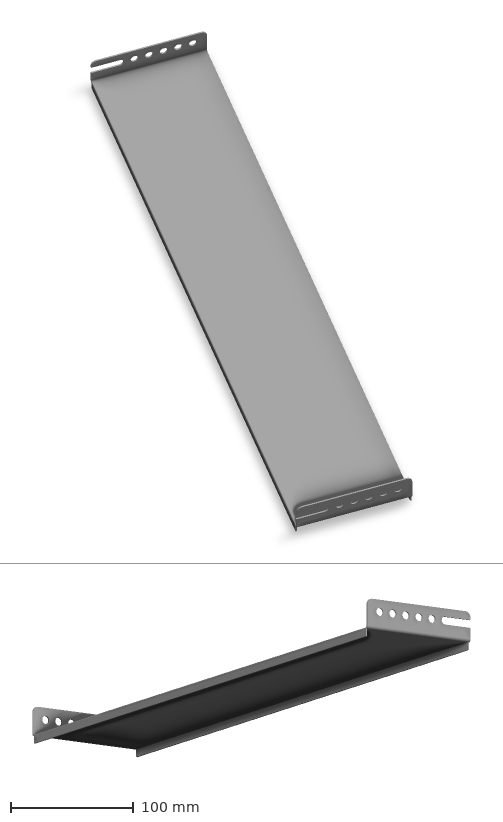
import cadquery as cq

length = 506.0
depth = 100.0
height = 31.5

sheet = 1.25
wall_inner_bend = 1.0
wall_outer_bend = wall_inner_bend + sheet
lip_outer_bend = 1.0
tray_top = 7.5
tray_bottom = tray_top - sheet
lip_half_length = length / 2 - wall_outer_bend

hole_diameter = 6.5
hole_count = 5
hole_pitch = 12.5
first_hole_from_back = 12.0
hole_height = 21.0
wall_corner_radius = 5.0

back = depth / 2
front = -depth / 2


def box_between(x_half, y_half, z_min, z_max):
    """Box centred in X and Y, spanning the given half sizes and heights."""
    outline = cq.Workplane("XY").workplane(offset=z_min).rect(2 * x_half, 2 * y_half)
    return outline.extrude(z_max - z_min)


def make_end_walls():
    """U-section: the tray floor with a wall bent up at each end."""
    outside = box_between(length / 2, depth / 2, tray_bottom, height)
    outside = outside.edges("|Y and <Z").fillet(wall_outer_bend)
    inside = box_between(length / 2 - sheet, depth / 2, tray_top, height)
    inside = inside.edges("|Y and <Z").fillet(wall_inner_bend)
    return outside.cut(inside).edges("|X and >Z").fillet(wall_corner_radius)


def make_lips():
    """Inverted U-section: the tray floor with a lip bent down along front and back."""
    outside = box_between(lip_half_length, depth / 2, 0, tray_top)
    outside = outside.edges("|X and >Z").fillet(lip_outer_bend)
    inside = box_between(lip_half_length, depth / 2 - sheet, 0, tray_bottom)
    return outside.cut(inside)


def make_floor_trim():
    """Front and back floor strips, whose place is taken by the round lip bends."""
    floor = box_between(lip_half_length, depth / 2, tray_bottom, tray_top)
    return floor.cut(box_between(lip_half_length, depth / 2 - lip_outer_bend, tray_bottom, tray_top))


def make_wall_openings():
    """Row of round holes and the front-opening slot, through both end walls."""
    first_hole = back - first_hole_from_back
    hole_places = [(first_hole - i * hole_pitch, hole_height) for i in range(hole_count)]
    holes = cq.Workplane("YZ").pushPoints(hole_places).circle(hole_diameter / 2)
    holes = holes.extrude(length / 2, both=True)
    slot_end = first_hole - hole_count * hole_pitch
    slot_length = 2 * (slot_end - front) + hole_diameter
    slot = cq.Workplane("YZ").center(front, hole_height).slot2D(slot_length, hole_diameter)
    return holes.union(slot.extrude(length / 2, both=True))


result = make_end_walls().cut(make_floor_trim()).union(make_lips()).cut(make_wall_openings())